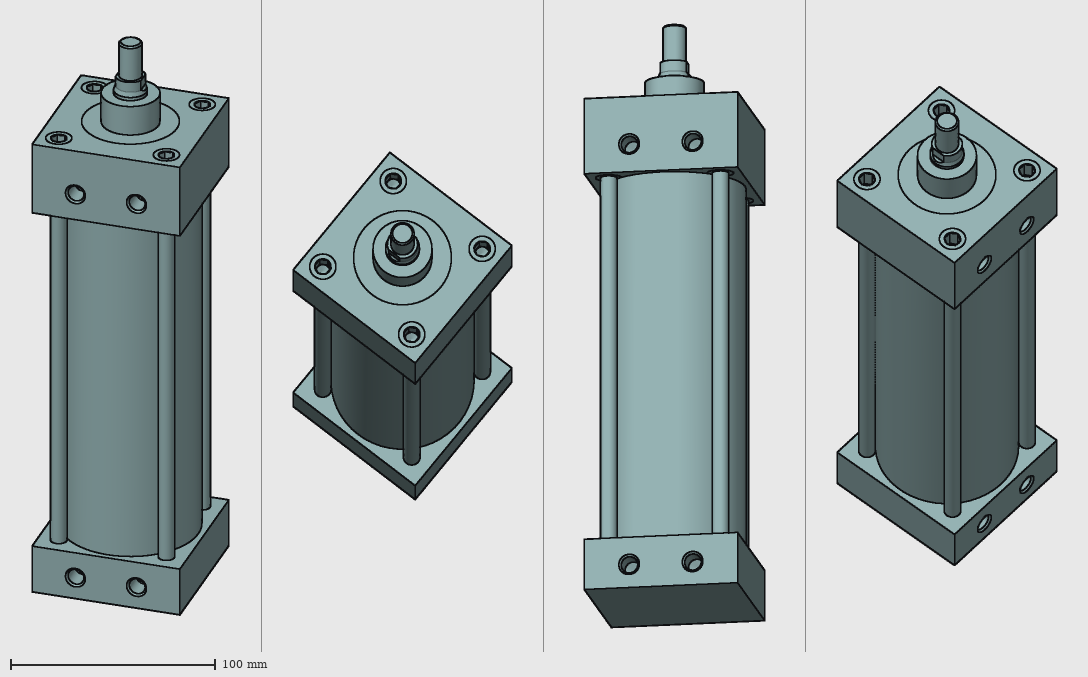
import cadquery as cq
import math

total_height = 292
cap_height = 25.5
head_bottom = 210.0
head_top = 248.0
nose_top = 263.8

block_side = 76.2

barrel_diameter = 70
tie_rod_diameter = 8.2
tie_rod_offset = 27.7
tie_end_diameter = 12.9
both_sides = (-tie_rod_offset, tie_rod_offset)
tie_rod_spots = [(x, y) for x in both_sides for y in both_sides]

drill_point_angle = 118
socket_across_flats = 7.0
socket_mouth_diameter = 8.0
socket_depth = 8.8
port_diameter = 8.2
port_chamfer = 1.02
port_depth = 11.7
port_offset = 15.8
cap_port_height = 11.7
head_port_height = 224.0

gland_flange_diameter = 48.0
gland_flange_thickness = 11.7
gland_flange_bottom = head_top - gland_flange_thickness
nose_diameter = 29.0

rod_collar_diameter = 16.6
rod_collar_top = 265.5
rod_shoulder_diameter = 15.0
flats_bottom = 268.1
flats_top = 273.5
width_across_flats = 13.0
rod_tip_diameter = 11.5
rod_tip_chamfer = 1.0


def cylinder(diameter, bottom, top):
    """Upright cylinder on the Z axis between two heights."""
    return cq.Workplane("XY").workplane(offset=bottom).circle(diameter / 2).extrude(top - bottom)


def block(bottom, top):
    """Square end block between two heights."""
    return cq.Workplane("XY").workplane(offset=bottom).rect(block_side, block_side).extrude(top - bottom)


def drilled_hole(diameter, chamfer, depth):
    """Cutter that enters at the origin and runs down -Z, with a chamfered mouth and a drill point."""
    radius = diameter / 2
    point_length = radius / math.tan(math.radians(drill_point_angle / 2))
    return (
        cq.Workplane("XZ")
        .moveTo(0, 0)
        .lineTo(radius + chamfer, 0)
        .lineTo(radius, -chamfer)
        .lineTo(radius, -depth)
        .lineTo(0, -depth - point_length)
        .close()
        .revolve(360, (0, 0, 0), (0, 1, 0))
    )


def hex_socket():
    """Hexagonal cutter below the origin, flats facing +-Y, with a countersunk mouth and a drill point."""
    across_corners = socket_across_flats / math.cos(math.radians(30))
    hexagon = cq.Workplane("XY").polygon(6, across_corners).extrude(-socket_depth)
    countersink = (socket_mouth_diameter - socket_across_flats) / 2
    return hexagon.union(drilled_hole(socket_across_flats, countersink, socket_depth))


def cut_ports(body, height):
    """Cut the two ports into the -Y face at the given height."""
    port = drilled_hole(port_diameter, port_chamfer, port_depth).rotate((0, 0, 0), (1, 0, 0), 90)
    for x in (-port_offset, port_offset):
        body = body.cut(port.translate((x, -block_side / 2, height)))
    return body


def make_frame():
    """Bottom cap, barrel and four tie rods in one piece; the rod ends pass up through the head."""
    frame = cut_ports(block(0, cap_height), cap_port_height)
    frame = frame.union(cylinder(barrel_diameter, cap_height, head_bottom))
    tie_rod = cylinder(tie_rod_diameter, cap_height, head_bottom)
    tie_rod = tie_rod.union(cylinder(tie_end_diameter, head_bottom, head_top))
    tie_rod = tie_rod.cut(hex_socket().translate((0, 0, head_top)))
    for x, y in tie_rod_spots:
        frame = frame.union(tie_rod.translate((x, y, 0)))
    return frame


def make_head():
    """Top block with bores for the tie-rod ends and a recess for the gland flange."""
    head = cut_ports(block(head_bottom, head_top), head_port_height)
    for x, y in tie_rod_spots:
        head = head.cut(cylinder(tie_end_diameter, head_bottom, head_top).translate((x, y, 0)))
    return head.cut(cylinder(gland_flange_diameter, gland_flange_bottom, head_top))


def make_gland():
    """Flange and nose, bored right through for the piston rod."""
    gland = cylinder(gland_flange_diameter, gland_flange_bottom, head_top)
    gland = gland.union(cylinder(nose_diameter, head_top, nose_top))
    return gland.cut(cylinder(rod_collar_diameter, gland_flange_bottom, nose_top))


def flat_cutter():
    """Cutter for the wrench flat on the +X side; its floor slopes outward and down at 45 degrees."""
    flat_x = width_across_flats / 2
    outer_x = rod_collar_diameter / 2
    return (
        cq.Workplane("XZ")
        .moveTo(flat_x, flats_top)
        .lineTo(outer_x, flats_top)
        .lineTo(outer_x, flats_bottom - (outer_x - flat_x))
        .lineTo(flat_x, flats_bottom)
        .close()
        .extrude(rod_shoulder_diameter / 2, both=True)
    )


def make_piston_rod():
    """Stepped rod with a tapered shoulder, two wrench flats facing +-X and a chamfered tip."""
    collar_radius = rod_collar_diameter / 2
    shoulder_radius = rod_shoulder_diameter / 2
    tip_radius = rod_tip_diameter / 2
    rod = (
        cq.Workplane("XZ")
        .moveTo(0, gland_flange_bottom)
        .lineTo(collar_radius, gland_flange_bottom)
        .lineTo(collar_radius, rod_collar_top)
        .lineTo(shoulder_radius, flats_bottom)
        .lineTo(shoulder_radius, flats_top)
        .lineTo(tip_radius, flats_top)
        .lineTo(tip_radius, total_height - rod_tip_chamfer)
        .lineTo(tip_radius - rod_tip_chamfer, total_height)
        .lineTo(0, total_height)
        .close()
        .revolve(360, (0, 0, 0), (0, 1, 0))
    )
    return rod.cut(flat_cutter()).cut(flat_cutter().mirror("YZ"))


frame = make_frame()
head = make_head()
gland = make_gland()
piston_rod = make_piston_rod()

result = cq.Compound.makeCompound([frame.val(), head.val(), gland.val(), piston_rod.val()])